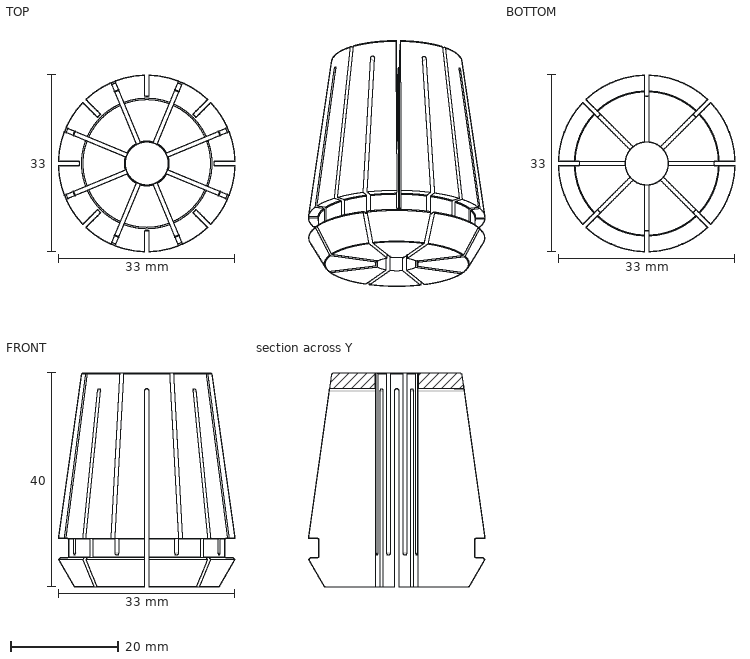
import cadquery as cq
import math

height = 40.0
max_radius = 16.5
bore_diameter = 8.0

taper_angle = 8.0
taper_bottom = 9.1
top_chamfer = 0.25
bore_chamfer = 0.2

neck_radius = 14.6
neck_corner_chamfer = 0.15
groove_bottom = 5.5
nose_rim_radius = 16.45
nose_angle = 30.0
nose_rim_height = 5.15
nose_rim_chamfer = groove_bottom - nose_rim_height
bottom_chamfer = 0.1

slits_per_end = 8
slit_width = 0.8
lower_slit_top = 37.0
upper_slit_bottom = 6.0

bore_radius = bore_diameter / 2
slit_pitch = 360 / slits_per_end


def taper_radius(z):
    return max_radius - (z - taper_bottom) * math.tan(math.radians(taper_angle))


def nose_radius(z):
    return nose_rim_radius - (nose_rim_height - z) * math.tan(math.radians(nose_angle))


def collet_body():
    """Revolved body: nose cone, extraction groove, long taper and bore."""
    profile = [
        (bore_radius, 0),
        (nose_radius(0) - bottom_chamfer, 0),
        (nose_radius(bottom_chamfer), bottom_chamfer),
        (nose_rim_radius, nose_rim_height),
        (nose_rim_radius - nose_rim_chamfer, groove_bottom),
        (neck_radius + neck_corner_chamfer, groove_bottom),
        (neck_radius, groove_bottom + neck_corner_chamfer),
        (neck_radius, taper_bottom - neck_corner_chamfer),
        (neck_radius + neck_corner_chamfer, taper_bottom),
        (max_radius, taper_bottom),
        (taper_radius(height - top_chamfer), height - top_chamfer),
        (taper_radius(height) - top_chamfer, height),
        (bore_radius + bore_chamfer, height),
        (bore_radius, height - bore_chamfer),
    ]
    return cq.Workplane("XZ").polyline(profile).close().revolve(360, (0, 0), (0, 1))


def slit_cutter(open_z, end_z, angle):
    """Radial blade from the axis outward, open at open_z and rounded at end_z."""
    half_width = slit_width / 2
    direction = math.copysign(1, end_z - open_z)
    blade = (
        cq.Workplane("YZ")
        .moveTo(-half_width, open_z)
        .lineTo(-half_width, end_z - direction * half_width)
        .threePointArc((0, end_z), (half_width, end_z - direction * half_width))
        .lineTo(half_width, open_z)
        .close()
        .extrude(max_radius + slit_width)
    )
    return blade.rotate((0, 0, 0), (0, 0, 1), angle)


result = collet_body()
for index in range(slits_per_end):
    lower_angle = index * slit_pitch
    upper_angle = lower_angle + slit_pitch / 2
    result = result.cut(slit_cutter(0, lower_slit_top, lower_angle))
    result = result.cut(slit_cutter(height, upper_slit_bottom, upper_angle))